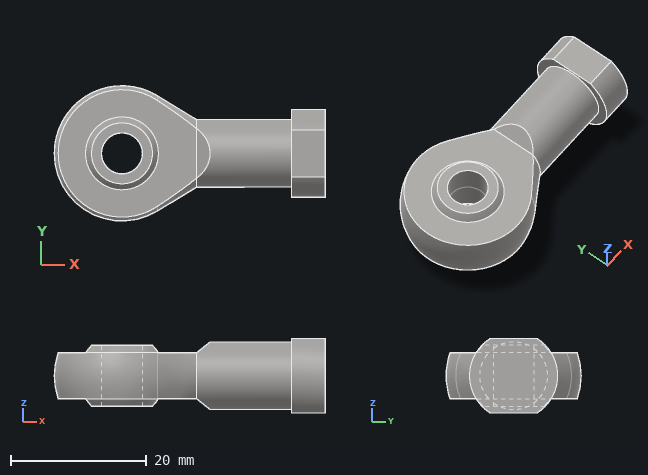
import cadquery as cq
import math

eye_radius = 10.0
eye_thickness = 6.8
ball_radius = 6.35
ball_width = 9.0
bore_diameter = 6.0
shank_radius = 5.0
neck_end_x = 11.0
ramp_end_x = 13.0
collar_radius = 6.5
collar_length = 5.0
collar_across_flats = 11.0
end_x = 30.0

collar_start_x = end_x - collar_length
half_thickness = eye_thickness / 2

neck_distance = math.hypot(neck_end_x, shank_radius)
tangent_angle = math.atan2(shank_radius, neck_end_x) + math.acos(eye_radius / neck_distance)


def eye_point(angle):
    return (eye_radius * math.cos(angle), eye_radius * math.sin(angle))


def make_body():
    """Spherical eye, conical neck and round shank, turned about X."""
    return (
        cq.Workplane("XY")
        .moveTo(-eye_radius, 0)
        .threePointArc(eye_point((math.pi + tangent_angle) / 2), eye_point(tangent_angle))
        .lineTo(neck_end_x, shank_radius)
        .lineTo(collar_start_x, shank_radius)
        .lineTo(collar_start_x, 0)
        .close()
        .revolve(360, (0, 0, 0), (1, 0, 0))
    )


def make_side_envelope():
    """XZ outline that flattens the eye and ramps out to the shank."""
    upper = [
        (-eye_radius, half_thickness),
        (neck_end_x, half_thickness),
        (ramp_end_x, shank_radius),
        (collar_start_x, shank_radius),
    ]
    lower = [(x, -z) for x, z in reversed(upper)]
    return (
        cq.Workplane("XZ")
        .polyline(upper + lower)
        .close()
        .extrude(eye_radius, both=True)
    )


def make_collar():
    """Round collar with two wrench flats facing +Z and -Z."""
    disc = (
        cq.Workplane("YZ", origin=(collar_start_x, 0, 0))
        .circle(collar_radius)
        .extrude(collar_length)
    )
    flats = cq.Workplane("XY").box(2 * end_x, 2 * collar_radius, collar_across_flats)
    return disc.intersect(flats)


def make_ball():
    """Bearing ball with flat faces above and below the eye."""
    faces = cq.Workplane("XY").box(2 * ball_radius, 2 * ball_radius, ball_width)
    return cq.Workplane("XY").sphere(ball_radius).intersect(faces)


bore = cq.Workplane("XY").circle(bore_diameter / 2).extrude(ball_width, both=True)

result = (
    make_body()
    .intersect(make_side_envelope())
    .union(make_collar())
    .union(make_ball())
    .cut(bore)
)